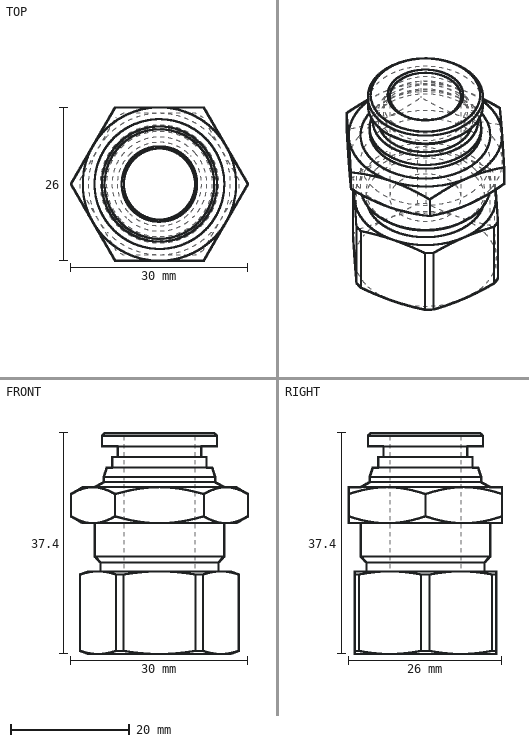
import cadquery as cq
import math

height = 37.4
nut_flats = 26.0
nut_bottom = 22.15
nut_top = 28.25
nut_chamfer_angle = 30.0
base_flats = 24.0
base_top = 14.0
base_corner_radius = 13.45
base_chamfer_angle = 20.0

body_radius = 11.0
undercut_radius = 10.02
undercut_top = 15.5
body_bottom = 16.53

sleeve_radius = 9.45
sleeve_bottom = 29.1
sleeve_taper_start = 29.95
sleeve_top_radius = 8.95
sleeve_top = 31.55
collar_radius = 8.0
collar_top = 33.35

neck_radius = 7.1
ring_radius = 9.75
ring_bottom = 35.15
ring_chamfer = 0.5

socket_radius = 6.02
socket_chamfer = 0.37
socket_floor = base_top


def revolve_profile(points):
    """Revolve (radius, z) points about the Z axis."""
    return cq.Workplane("XZ").polyline(points).close().revolve(360, (0, 0, 0), (0, 1, 0))


def chamfered_hexagon(flats, bottom, top, outer_radius, chamfer_angle):
    """Hexagon with corners on X, turned to outer_radius, with conical chamfers at both ends."""
    face_radius = flats / 2
    drop = (outer_radius - face_radius) * math.tan(math.radians(chamfer_angle))
    corner_diameter = flats / math.cos(math.radians(30))
    prism = cq.Workplane("XY").workplane(offset=bottom).polygon(6, corner_diameter).extrude(top - bottom)
    envelope = revolve_profile([
        (0, bottom),
        (face_radius, bottom),
        (outer_radius, bottom + drop),
        (outer_radius, top - drop),
        (face_radius, top),
        (0, top),
    ])
    return prism.intersect(envelope)


nut_corner_radius = nut_flats / math.sqrt(3)
nut = chamfered_hexagon(nut_flats, nut_bottom, nut_top, nut_corner_radius, nut_chamfer_angle)
base = chamfered_hexagon(base_flats, 0, base_top, base_corner_radius, base_chamfer_angle)

core = revolve_profile([
    (0, 0),
    (undercut_radius, 0),
    (undercut_radius, undercut_top),
    (body_radius, body_bottom),
    (body_radius, nut_top),
    (sleeve_radius, sleeve_bottom),
    (sleeve_radius, sleeve_taper_start),
    (sleeve_top_radius, sleeve_top),
    (collar_radius, sleeve_top),
    (collar_radius, collar_top),
    (neck_radius, collar_top),
    (neck_radius, ring_bottom),
    (ring_radius, ring_bottom),
    (ring_radius, height - ring_chamfer),
    (ring_radius - ring_chamfer, height),
    (0, height),
])

socket = revolve_profile([
    (0, socket_floor),
    (socket_radius, socket_floor),
    (socket_radius, height - socket_chamfer),
    (socket_radius + socket_chamfer, height),
    (0, height),
])

result = core.union(nut).union(base).cut(socket)